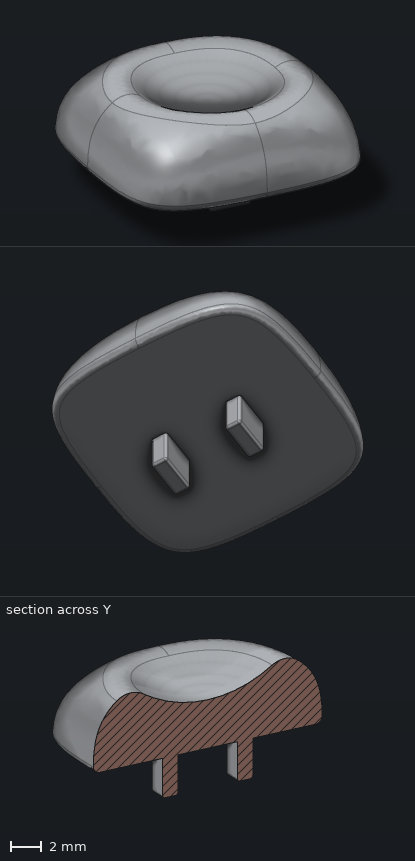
import cadquery as cq

CAP_WIDTH = 17.48
CROWN_HEIGHT = 6.4
WALL_EXPONENT = 3.0
WALL_ROUNDNESS = 2.3
SQUARE_FULLNESS = 0.9
ROUND_FULLNESS = 0.5523
ROUND_HEIGHT = 5.8
FULLNESS_EXPONENT = 2.0
SECTION_HEIGHTS = (0.0, 0.6, 1.4, 2.4, 3.4, 4.2, 4.8, 5.3, 5.7, 6.0)
BASE_FILLET = 0.5

DISH_RADIUS = 9.2
DISH_BOTTOM = 3.43
RIM_FILLET = 1.8

LEG_SPACING = 5.7
LEG_THICKNESS = 1.2
LEG_WIDTH = 2.95
LEG_LENGTH = 2.8
LEG_FILLET = 0.2
LEG_OVERLAP = 0.5


def half_width(height):
    """Half width of the cap wall, measured along X or Y."""
    rise = (height / CROWN_HEIGHT) ** WALL_EXPONENT
    return CAP_WIDTH / 2 * (1 - rise) ** (1 / WALL_ROUNDNESS)


def corner_fullness(height):
    """Blend from the squarish base section towards a circular crown section."""
    blend = min(height / ROUND_HEIGHT, 1.0) ** FULLNESS_EXPONENT
    return SQUARE_FULLNESS + (ROUND_FULLNESS - SQUARE_FULLNESS) * blend


def cap_section(height):
    """Closed horizontal section made of four identical corner curves."""
    reach = half_width(height)
    handle = reach * corner_fullness(height)
    outline = [(reach, 0), (reach, handle), (handle, reach), (0, reach)]
    corner = cq.Edge.makeBezier([cq.Vector(x, y, height) for x, y in outline])
    axis_start = cq.Vector(0, 0, 0)
    axis_end = cq.Vector(0, 0, 1)
    corners = [corner.rotate(axis_start, axis_end, angle) for angle in (0, 90, 180, 270)]
    return cq.Wire.assembleEdges(corners)


def make_cap():
    """Lofted cap with the dish cut in, its rim rounded and its base edge rounded."""
    sections = [cap_section(height) for height in SECTION_HEIGHTS]
    cap = cq.Workplane(obj=cq.Solid.makeLoft(sections))
    dish = cq.Workplane().sphere(DISH_RADIUS).translate((0, 0, DISH_BOTTOM + DISH_RADIUS))
    cap = cap.cut(dish)
    cap = cap.faces("%SPHERE").edges("%BSPLINE").fillet(RIM_FILLET)
    return cap.faces("<Z").edges().fillet(BASE_FILLET)


def make_leg(x):
    """Rectangular leg below the cap, with rounded corners and a rounded tip."""
    height = LEG_LENGTH + LEG_OVERLAP
    leg = cq.Workplane().box(LEG_THICKNESS, LEG_WIDTH, height, centered=(True, True, False))
    leg = leg.edges("|Z or <Z").fillet(LEG_FILLET)
    return leg.translate((x, 0, -LEG_LENGTH))


result = make_cap()
for side in (-1, 1):
    result = result.union(make_leg(side * LEG_SPACING / 2))